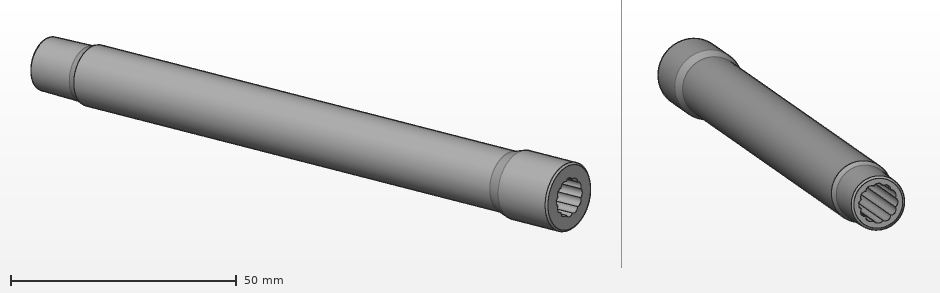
import cadquery as cq
import math

length = 150.0
tip_end_diameter = 12.3
tip_face_diameter = 11.2
tip_bevel_length = 0.3
tip_root_diameter = 12.8
shaft_diameter = 14.0
collar_diameter = 15.8
tip_length = 11.5
shaft_start = 13.4
shaft_end = 132.9
collar_start = 136.0
collar_chamfer = 0.5

lobe_count = 12
ridge_diameter = 8.1
lobe_tip_diameter = 9.0


def outer_body():
    """Revolve the stepped outside about the X axis."""
    profile = [
        (0, 0),
        (0, tip_face_diameter / 2),
        (tip_bevel_length, tip_end_diameter / 2),
        (tip_length, tip_root_diameter / 2),
        (shaft_start, shaft_diameter / 2),
        (shaft_end, shaft_diameter / 2),
        (collar_start, collar_diameter / 2),
        (length - collar_chamfer, collar_diameter / 2),
        (length, collar_diameter / 2 - collar_chamfer),
        (length, 0),
    ]
    return cq.Workplane("XY").polyline(profile).close().revolve(360, (0, 0, 0), (1, 0, 0))


def polar_point(diameter, angle_degrees):
    """Point in the cross section at an angle around the axis."""
    angle = math.radians(angle_degrees)
    return (diameter / 2 * math.cos(angle), diameter / 2 * math.sin(angle))


def lobed_bore():
    """One arc per lobe, from ridge to ridge, run through the full length."""
    lobe_angle = 360 / lobe_count
    outline = cq.Workplane("YZ").moveTo(*polar_point(ridge_diameter, -lobe_angle / 2))
    for index in range(lobe_count):
        middle = index * lobe_angle
        outline = outline.threePointArc(
            polar_point(lobe_tip_diameter, middle),
            polar_point(ridge_diameter, middle + lobe_angle / 2),
        )
    return outline.close().extrude(length)


result = outer_body().cut(lobed_bore())